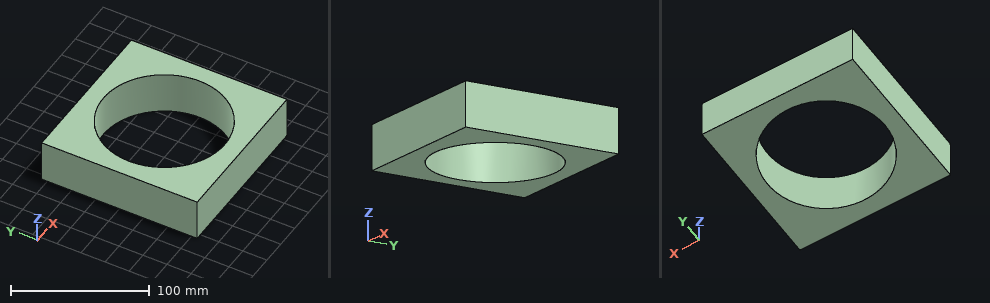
import cadquery as cq

side = 129.6
height = 35.0

bore_diameter = 101.0

block = cq.Workplane("XY").box(side, side, height)
result = block.faces(">Z").workplane().hole(bore_diameter)